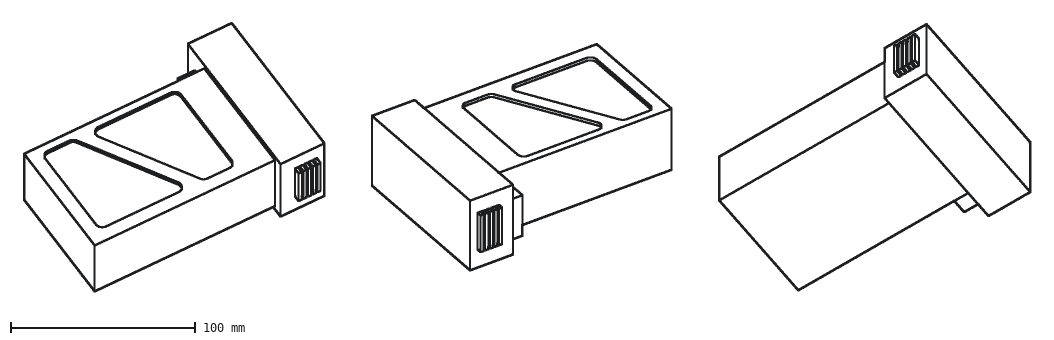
import cadquery as cq

total_length = 141.6

cap_width = 97.0
cap_depth = 27.8
cap_height = 45.7
cap_front = total_length - cap_depth

body_left = 17.3
body_width = 73.9
body_height = 40.1
body_bottom = (cap_height - body_height) / 2
body_top = body_bottom + body_height

block_left = 7.4
block_depth = 10.9
block_height = 26.6
block_bottom = 4.0

rib_count = 5
rib_thickness = 2.0
rib_pitch = 3.0
rib_height = 24.1
rib_bottom = 11.9
rib_rear_margin = 4.8
left_rib_reach = 3.0
right_rib_reach = 4.0

pocket_left = body_left + 5.0
pocket_width = 60.9
pocket_right = pocket_left + pocket_width
pocket_front = 8.1
pocket_rear = 93.8
pocket_short_side = 20.0
pocket_long_side = 56.6
pocket_corner_radius = 4.0
pocket_depth = 2.0


def box_at(x, y, z, width, depth, height):
    """Box whose left, front, bottom corner is at (x, y, z)."""
    return cq.Workplane("XY").box(width, depth, height, centered=False).translate((x, y, z))


def pocket_cutter(corners):
    """Rounded four-sided cutter sunk from the body's top face."""
    return (
        cq.Workplane("XY", origin=(0, 0, body_top))
        .polyline(corners)
        .close()
        .extrude(-pocket_depth)
        .edges("|Z")
        .fillet(pocket_corner_radius)
    )


cap = box_at(0, cap_front, 0, cap_width, cap_depth, cap_height)
body = box_at(body_left, 0, body_bottom, body_width, cap_front, body_height)
block = box_at(
    block_left, cap_front - block_depth, block_bottom,
    body_left - block_left, block_depth, block_height,
)
result = cap.union(body).union(block)

rib_length = left_rib_reach + cap_width + right_rib_reach
for index in range(rib_count):
    rib_front = total_length - rib_rear_margin - rib_thickness - index * rib_pitch
    rib = box_at(-left_rib_reach, rib_front, rib_bottom, rib_length, rib_thickness, rib_height)
    result = result.union(rib)

rear_pocket = pocket_cutter([
    (pocket_left, pocket_rear),
    (pocket_right, pocket_rear),
    (pocket_right, pocket_rear - pocket_short_side),
    (pocket_left, pocket_rear - pocket_long_side),
])
front_pocket = pocket_cutter([
    (pocket_left, pocket_front),
    (pocket_right, pocket_front),
    (pocket_right, pocket_front + pocket_long_side),
    (pocket_left, pocket_front + pocket_short_side),
])
result = result.cut(rear_pocket).cut(front_pocket)